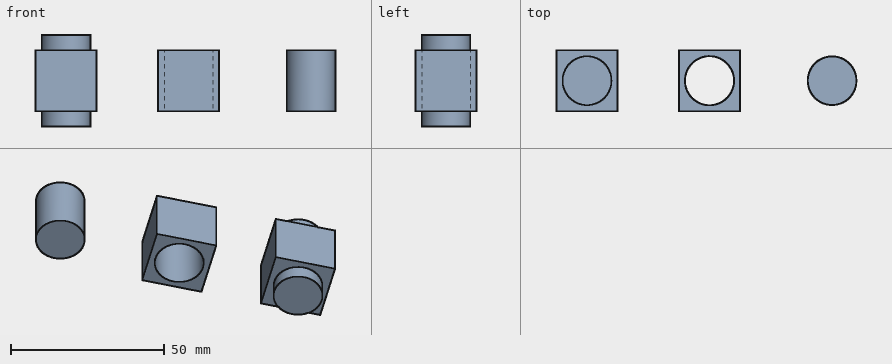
import cadquery as cq

total_length = 98.0
cube_side = 20.0
round_diameter = 16.0
stub_height = 5.0

holed_cube_x = 2 * cube_side
plain_cylinder_x = total_length - cube_side / 2 - round_diameter / 2


def cube():
    return cq.Workplane("XY").box(cube_side, cube_side, cube_side)


def upright_cylinder(height):
    """Cylinder along Z, centred on the origin."""
    return cq.Workplane("XY").cylinder(height, round_diameter / 2)


def make_studded_cube():
    """Cube with a round stub on its top and bottom faces, in one piece."""
    return cube().union(upright_cylinder(cube_side + 2 * stub_height))


def make_holed_cube():
    """Cube with a round hole through it along Z."""
    drilled = cube().cut(upright_cylinder(cube_side))
    return drilled.translate((holed_cube_x, 0, 0))


def make_plain_cylinder():
    """Cylinder as tall as the cubes."""
    return upright_cylinder(cube_side).translate((plain_cylinder_x, 0, 0))


studded_cube = make_studded_cube()
holed_cube = make_holed_cube()
plain_cylinder = make_plain_cylinder()

result = cq.Compound.makeCompound([
    studded_cube.solids().val(),
    holed_cube.solids().val(),
    plain_cylinder.solids().val(),
])